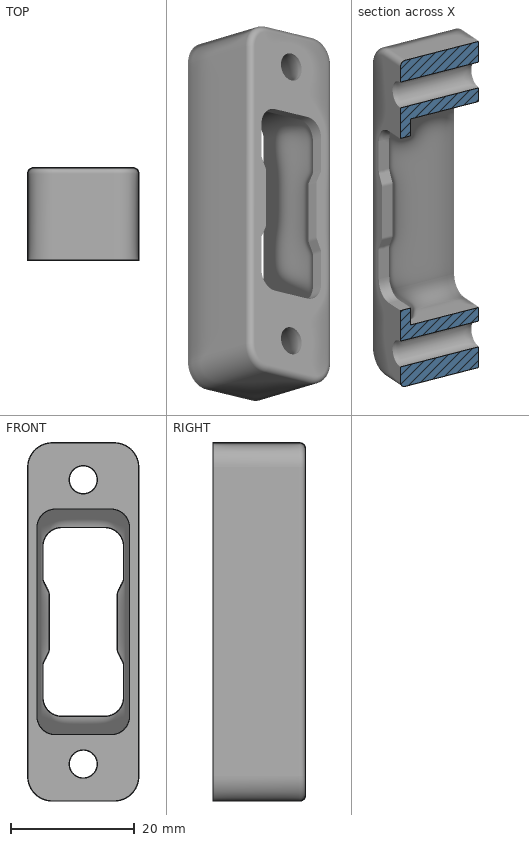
import cadquery as cq

WIDTH = 18.0
DEPTH = 15.0
HEIGHT = 58.0
CORNER_RADIUS = 4.0
REAR_EDGE_RADIUS = 1.0

HOLE_DIAMETER = 4.5
HOLE_SPACING = 46.0

SIDE_WALL = 1.5
POCKET_WIDTH = WIDTH - 2 * SIDE_WALL
POCKET_HEIGHT = 36.5
POCKET_RADIUS = 3.0
REAR_WALL = 2.0
POCKET_DEPTH = DEPTH - REAR_WALL

SIDE_LEDGE = 1.0
END_LEDGE = 3.0
WINDOW_WIDTH = POCKET_WIDTH - 2 * SIDE_LEDGE
WINDOW_HEIGHT = POCKET_HEIGHT - 2 * END_LEDGE
WINDOW_RADIUS = 3.0
WAIST_WIDTH = 11.0
WAIST_LENGTH = 9.5
WAIST_TAPER_LENGTH = 2.0
WAIST_BLEND_RADIUS = 1.0

FRONT_Y = -DEPTH / 2


def front_plane(y):
    """Workplane at the given Y whose normal points to +Y, with local x = X and local y = -Z."""
    return cq.Workplane(cq.Plane(origin=(0, y, 0), xDir=(1, 0, 0), normal=(0, 1, 0)))


def rounded_block(width, height, radius, start_y, length):
    """Block running along +Y from start_y, with its four long edges rounded."""
    return front_plane(start_y).rect(width, height).extrude(length).edges("|Y").fillet(radius)


def body():
    block = rounded_block(WIDTH, HEIGHT, CORNER_RADIUS, FRONT_Y, DEPTH)
    return block.faces(">Y").edges().fillet(REAR_EDGE_RADIUS)


def pocket():
    return rounded_block(POCKET_WIDTH, POCKET_HEIGHT, POCKET_RADIUS, FRONT_Y, POCKET_DEPTH)


def waist_pad(side):
    """Trapezoid that narrows the window on one side (side is +1 or -1 along X)."""
    outer_x = side * WINDOW_WIDTH / 2
    inner_x = side * WAIST_WIDTH / 2
    inner_z = WAIST_LENGTH / 2
    outer_z = inner_z + WAIST_TAPER_LENGTH
    outline = [(outer_x, -outer_z), (inner_x, -inner_z), (inner_x, inner_z), (outer_x, outer_z)]
    return front_plane(FRONT_Y + POCKET_DEPTH).polyline(outline).close().extrude(REAR_WALL)


def window():
    opening = rounded_block(
        WINDOW_WIDTH, WINDOW_HEIGHT, WINDOW_RADIUS, FRONT_Y + POCKET_DEPTH, REAR_WALL
    )
    for side in (-1, 1):
        opening = opening.cut(waist_pad(side))
    waist_zone = cq.selectors.BoxSelector(
        (-WIDTH, -DEPTH, -WAIST_LENGTH), (WIDTH, DEPTH, WAIST_LENGTH)
    )
    return opening.edges("|Y").edges(waist_zone).fillet(WAIST_BLEND_RADIUS)


def screw_holes():
    centers = [(0, -HOLE_SPACING / 2), (0, HOLE_SPACING / 2)]
    return front_plane(FRONT_Y).pushPoints(centers).circle(HOLE_DIAMETER / 2).extrude(DEPTH)


result = body().cut(pocket()).cut(window()).cut(screw_holes())